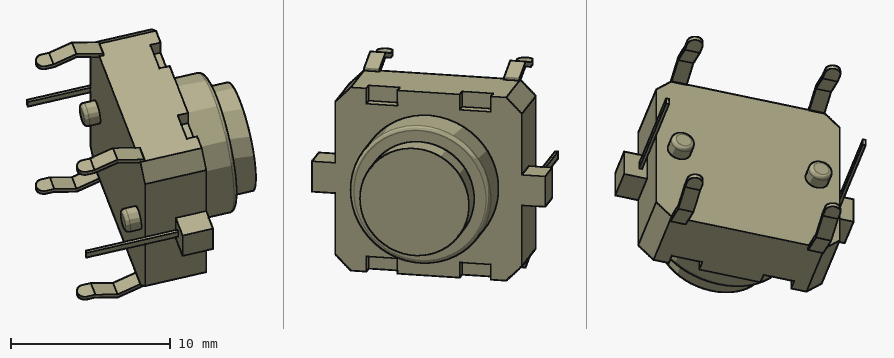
import cadquery as cq
import math


overall_width = 15.0
overall_depth = 12.0
overall_height = 13.5

housing_side = 12.0
housing_depth = 4.0
corner_chamfer = 1.0
collar_diameter = 9.0
collar_height = 2.5
edge_fillet = 0.25

plunger_diameter = 7.0
plunger_height = 1.5

peg_diameter = 1.5
peg_length = 0.99
peg_spacing = 9.0

block_side = 2.0
lead_thickness = 0.2
lead_width = 0.46
lead_inset = 0.98

notch_width = 2.0
notch_spacing = 6.0
notch_depth_y = 0.68
notch_depth_z = 1.0

terminal_width = 0.99
terminal_thickness = 0.3
terminal_spacing = 9.0
knee_distance = 1.5
knee_rise = 0.5
root_length = 0.28
root_fillet = 0.08

half_side = housing_side / 2
collar_face = housing_depth + collar_height
tip_y = collar_face + plunger_height - overall_depth
block_bottom = housing_depth - block_side
block_length = (overall_width - housing_side) / 2
knee_outer_z = overall_height / 2
tip_outer_z = knee_outer_z - knee_rise
tip_inner_z = tip_outer_z - terminal_thickness


def plane_at(y):
    """Sketch plane at height y: extrusions run toward +Y and its local axes are X and -Z."""
    return cq.Workplane(cq.Plane(origin=(0, y, 0), xDir=(1, 0, 0), normal=(0, 1, 0)))


def make_base():
    """Square block with chamfered corners and the round collar on its front."""
    base = (
        plane_at(0).rect(housing_side, housing_side).extrude(housing_depth)
        .edges("|Y").chamfer(corner_chamfer)
    )
    collar = (
        plane_at(housing_depth).circle(collar_diameter / 2).extrude(collar_height)
        .faces(">Y").edges().fillet(edge_fillet)
    )
    return base.union(collar)


def make_pegs():
    """Two locating pegs with rounded ends on the mounting face."""
    return (
        plane_at(-peg_length).rarray(peg_spacing, 0.15, 2, 1)
        .circle(peg_diameter / 2).extrude(peg_length)
        .faces("<Y").edges().fillet(edge_fillet)
    )


def make_block_with_lead(side):
    """Block on one X side (side = -1 or 1) with its thin lead."""
    block_x = side * (half_side + block_length / 2)
    lead_x = side * (overall_width / 2 - lead_inset - lead_thickness / 2)
    block = plane_at(block_bottom).center(block_x, 0).rect(block_length, block_side).extrude(block_side)
    lead = plane_at(tip_y).center(lead_x, 0).rect(lead_thickness, lead_width).extrude(block_bottom - tip_y)
    return block.union(lead)


def make_notches():
    """Cutters for two notches in the front edge of each Z side."""
    return (
        plane_at(housing_depth - notch_depth_y)
        .rarray(notch_spacing, housing_side, 2, 2)
        .rect(notch_width, 2 * notch_depth_z).extrude(notch_depth_y)
    )


def make_housing():
    housing = make_base().union(make_pegs())
    for side in (-1, 1):
        housing = housing.union(make_block_with_lead(side))
    return housing.cut(make_notches())


def make_plunger():
    return plane_at(collar_face).circle(plunger_diameter / 2).extrude(plunger_height)


def make_terminal(x):
    """Bent strip on the +Z wall, centred at x, with a semicircular tip."""
    slope = knee_rise / knee_distance
    knee_inner_z = knee_outer_z - terminal_thickness / math.cos(math.atan(slope))
    heel_inner_y = -knee_distance - (knee_inner_z - tip_inner_z) / slope
    root_inner_z = knee_inner_z - knee_rise
    heel_outer_y = -2 * knee_distance
    root_outer_z = knee_outer_z - slope * (knee_distance + root_length)

    profile = [
        (0, half_side),
        (root_length, half_side),
        (root_length, root_outer_z),
        (-knee_distance, knee_outer_z),
        (heel_outer_y, tip_outer_z),
        (tip_y, tip_outer_z),
        (tip_y, tip_inner_z),
        (heel_inner_y, tip_inner_z),
        (-knee_distance, knee_inner_z),
        (0, root_inner_z),
    ]
    strip = (
        cq.Workplane("YZ").workplane(offset=x)
        .polyline(profile).close().extrude(terminal_width / 2, both=True)
    )
    strip = strip.edges("|X").edges(">Y").edges(">Z").fillet(root_fillet)

    tip_radius = terminal_width / 2
    tip_start = tip_y + tip_radius
    flat_pattern = (
        cq.Workplane("XY").workplane(offset=root_inner_z)
        .moveTo(x - tip_radius, root_length)
        .lineTo(x - tip_radius, tip_start)
        .threePointArc((x, tip_y), (x + tip_radius, tip_start))
        .lineTo(x + tip_radius, root_length)
        .close().extrude(knee_outer_z - root_inner_z)
    )
    return strip.intersect(flat_pattern)


housing = make_housing()
plunger = make_plunger()

terminals = []
for terminal_x in (-terminal_spacing / 2, terminal_spacing / 2):
    upper_terminal = make_terminal(terminal_x)
    terminals.extend(upper_terminal.solids().vals())
    terminals.extend(upper_terminal.mirror("XY").solids().vals())

result = cq.Compound.makeCompound([*housing.solids().vals(), plunger.val(), *terminals])